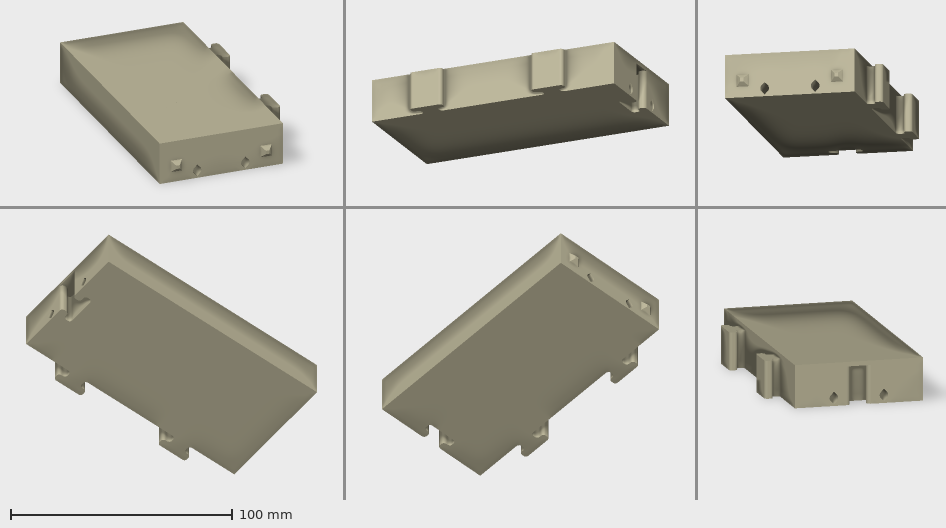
import cadquery as cq
import math

OVERALL_LENGTH = 122
LENGTH = 120.0
WIDTH = LENGTH / 2
HEIGHT = 20.0

KEY_LENGTH = 7.9
KEY_HEIGHT = 17.5
KEY_X = [LENGTH / 4, 3 * LENGTH / 4]
NECK_HALF = 4.0
NECK_FILLET = 1.7
NECK_FLAT = 0.6
HEAD_HALF = 7.9
HEAD_CORNER = 1.5
KEY_CLEARANCE = 0.4
KEYWAY_HEIGHT = KEY_HEIGHT + KEY_CLEARANCE

HOLE_DIAMETER = 4.0
HOLE_OFFSET = 11.7
HOLE_Z = 3.7

STUD_BASE = 5.6
STUD_SLOPE = 45
STUD_LENGTH = OVERALL_LENGTH - LENGTH
STUD_OFFSET = 21.8
STUD_Z = 7.8

INLAY_DEPTH = 1.0
BOWL_Y = 26.8
BOWL_HALF_HEIGHT = 9.1
COUNTER_HALF_HEIGHT = 6.6
COUNTER_HALF_WIDTH = 4.3
C_X = LENGTH / 4
C_HALF_WIDTH = 7.7
C_GAP_HEIGHT = 6.1
C_SERIF_WIDTH = 2.7
C_SERIF_HEIGHT = 3.7
D_BOWL_X = 87.7
D_BOWL_HALF_WIDTH = 7.0
D_COUNTER_X = 88.5
STEM_LEFT = 92.5
STEM_WIDTH = 3.0
STEM_HEIGHT = 25.2
STEM_BOTTOM = 18.0
SERIF_LENGTH = 2.7
SERIF_HEIGHT = 2.3


def key_prism(height):
    """T-shaped prism standing on Z = 0, growing toward +Y from a root on the X axis."""
    root_half = NECK_HALF + NECK_FILLET
    neck_top = NECK_FILLET + NECK_FLAT
    head_bottom = neck_top + NECK_FILLET
    neck_bulge = NECK_FILLET * math.sqrt(0.5)
    corner_x = HEAD_HALF - HEAD_CORNER
    lower_corner_y = head_bottom + HEAD_CORNER
    upper_corner_y = KEY_LENGTH - HEAD_CORNER
    corner_bulge = HEAD_CORNER * math.sqrt(0.5)
    half = (
        cq.Workplane("XY")
        .lineTo(root_half, 0)
        .threePointArc((root_half - neck_bulge, NECK_FILLET - neck_bulge), (NECK_HALF, NECK_FILLET))
        .lineTo(NECK_HALF, neck_top)
        .threePointArc((root_half - neck_bulge, neck_top + neck_bulge), (root_half, head_bottom))
        .lineTo(corner_x, head_bottom)
        .threePointArc((corner_x + corner_bulge, lower_corner_y - corner_bulge), (HEAD_HALF, lower_corner_y))
        .lineTo(HEAD_HALF, upper_corner_y)
        .threePointArc((corner_x + corner_bulge, upper_corner_y + corner_bulge), (corner_x, KEY_LENGTH))
        .lineTo(0, KEY_LENGTH)
        .close()
        .extrude(height)
    )
    return half.union(half.mirror("YZ"))


def make_key(x):
    return key_prism(KEY_HEIGHT).translate((x, WIDTH, 0))


def make_keyway():
    keyway = key_prism(KEYWAY_HEIGHT)
    return keyway.rotate((0, 0, 0), (0, 0, 1), -90).translate((0, WIDTH / 2, 0))


def make_hole(y):
    """Bore along X whose 45-degree tangents meet in a point above it and in one below it."""
    radius = HOLE_DIAMETER / 2
    apex = radius * math.sqrt(2)
    tangent = radius * math.sqrt(0.5)
    return (
        cq.Workplane("YZ", origin=(0, y, HOLE_Z))
        .moveTo(0, apex)
        .lineTo(tangent, tangent)
        .threePointArc((radius, 0), (tangent, -tangent))
        .lineTo(0, -apex)
        .lineTo(-tangent, -tangent)
        .threePointArc((-radius, 0), (-tangent, tangent))
        .close()
        .extrude(LENGTH)
    )


def make_stud(y):
    """Square stud whose four sides slope in at 45 degrees."""
    return (
        cq.Workplane("YZ", origin=(LENGTH, y, STUD_Z))
        .rect(STUD_BASE, STUD_BASE)
        .extrude(STUD_LENGTH, taper=STUD_SLOPE)
    )


def top_plate(x, y, width, height):
    """Rectangular piece of inlay with its lower left corner at x, y."""
    return cq.Workplane("XY").box(width, height, INLAY_DEPTH, centered=False).translate(
        (x, y, HEIGHT - INLAY_DEPTH)
    )


def top_ellipse(x, half_width, half_height):
    """Elliptical piece of inlay centred on the bowl height."""
    return (
        cq.Workplane("XY", origin=(x, BOWL_Y, HEIGHT - INLAY_DEPTH))
        .ellipse(half_width, half_height)
        .extrude(INLAY_DEPTH)
    )


def make_c_inlay():
    bowl = top_ellipse(C_X, C_HALF_WIDTH, BOWL_HALF_HEIGHT)
    counter = top_ellipse(C_X, COUNTER_HALF_WIDTH, COUNTER_HALF_HEIGHT)
    gap = top_plate(C_X, BOWL_Y - C_GAP_HEIGHT / 2, 2 * C_HALF_WIDTH, C_GAP_HEIGHT)
    serif = top_plate(
        C_X + COUNTER_HALF_WIDTH, BOWL_Y + C_GAP_HEIGHT / 2, C_SERIF_WIDTH, C_SERIF_HEIGHT
    )
    return bowl.cut(counter).cut(gap).union(serif)


def make_d_inlay():
    bowl = top_ellipse(D_BOWL_X, D_BOWL_HALF_WIDTH, BOWL_HALF_HEIGHT)
    counter = top_ellipse(D_COUNTER_X, COUNTER_HALF_WIDTH, COUNTER_HALF_HEIGHT)
    beyond_stem = top_plate(STEM_LEFT, 0, LENGTH - STEM_LEFT, WIDTH)
    stem = top_plate(STEM_LEFT, STEM_BOTTOM, STEM_WIDTH, STEM_HEIGHT)
    head_serif = top_plate(
        STEM_LEFT - SERIF_LENGTH, STEM_BOTTOM + STEM_HEIGHT - SERIF_HEIGHT, SERIF_LENGTH, SERIF_HEIGHT
    )
    foot_serif = top_plate(STEM_LEFT + STEM_WIDTH, STEM_BOTTOM, SERIF_LENGTH, SERIF_HEIGHT)
    return bowl.cut(beyond_stem).cut(counter).union(stem).union(head_serif).union(foot_serif)


def make_tile(inlays):
    tile = cq.Workplane("XY").box(LENGTH, WIDTH, HEIGHT, centered=False)
    for x in KEY_X:
        tile = tile.union(make_key(x))
    tile = tile.cut(make_keyway())
    for side in (-1, 1):
        tile = tile.cut(make_hole(WIDTH / 2 + side * HOLE_OFFSET))
        tile = tile.union(make_stud(WIDTH / 2 + side * STUD_OFFSET))
    for inlay in inlays:
        tile = tile.cut(inlay)
    return tile


c_inlay = make_c_inlay()
d_inlay = make_d_inlay()
tile = make_tile([c_inlay, d_inlay])

result = cq.Compound.makeCompound([tile.val(), c_inlay.val(), d_inlay.val()])